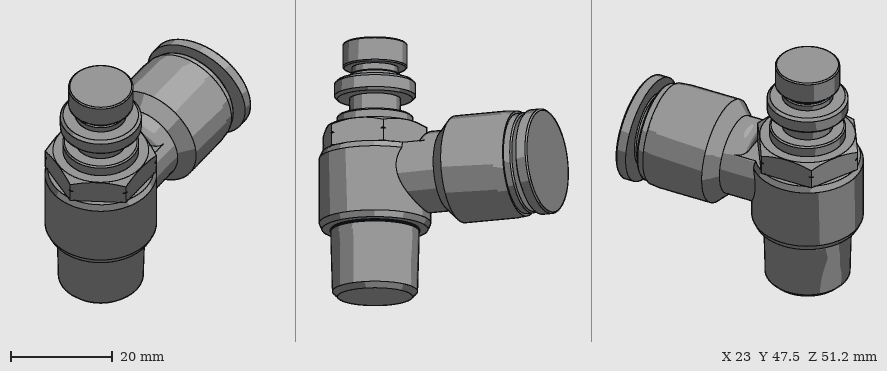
import cadquery as cq
import math


housing_bottom = 13.65
housing_top = 29.15
hex_top = 34.2
collar_top = 36.5
lock_nut_bottom = 40.1
lock_nut_top = 43.6
stem_top = 45.0
knob_bottom = 46.35
overall_height = 51.2

edge_chamfer = 0.3

housing_radius = 11.0
housing_chamfer_width = 0.55
housing_chamfer_height = 1.25

port_height = 24.2
port_neck_radius = 8.0
port_neck_rounding = 1.9
port_neck_face = 11.0
port_cone_start = 15.4
port_radius = 10.6
port_cone_end = port_cone_start + port_radius - port_neck_radius
port_taper_start = 29.0
port_end_radius = 10.4
port_end = 31.05

sleeve_radius = 9.95
sleeve_end = 32.65
collet_neck_radius = 7.3
collet_foot = 0.25
flange_front = 34.25
flange_back = 36.5
flange_width = 23.0
flange_half_width = flange_width / 2
flange_half_height = 10.3

thread_tip_radius = 7.35
thread_end_radius = 8.4
thread_radius = 8.7
thread_tip_height = 1.1
thread_top = 12.0
lip_radius = 8.9
lip_height = 13.35
lip_thickness = 0.15
hex_across_flats = 19.0
hex_corner_radius = hex_across_flats / math.sqrt(3)
hex_top_radius = 9.4
hex_chamfer_angle = 30.0
hex_notch_height = 31.6
hex_notch_depth = 0.25
collar_radius = 7.5

stem_radius = 5.0
stem_chamfer = 0.25
lock_nut_radius = 8.0
lock_nut_chamfer = 0.55
knob_neck_radius = 4.55
knob_radius = 6.35
knob_chamfer = 0.25


def revolve_about_z(profile):
    """Turn a closed outline of (radius, Z) points around the Z axis."""
    return cq.Workplane("XZ").polyline(profile).close().revolve(360, (0, 0), (0, 1))


def revolve_about_port(profile):
    """Turn a closed outline of (radius, Y) points around the port axis."""
    turned = cq.Workplane("XY").polyline(profile).close().revolve(360, (0, 0), (0, 1))
    return turned.translate((0, 0, port_height))


def make_port_neck():
    """Rounded neck of the port, with its lower part carried on into the housing barrel."""
    rounded = (
        cq.Workplane("XZ", origin=(0, port_cone_start, port_height))
        .circle(port_neck_radius)
        .extrude(port_cone_start - port_neck_face)
        .faces("<Y")
        .edges()
        .fillet(port_neck_rounding)
    )
    lower = (
        cq.Workplane("XZ", origin=(0, port_cone_start, port_height))
        .circle(port_neck_radius)
        .extrude(port_cone_start)
    )
    above_housing = (
        cq.Workplane("XY", origin=(0, 0, housing_top))
        .rect(2 * port_radius, 2 * port_end)
        .extrude(port_radius)
    )
    return rounded.union(lower.cut(above_housing))


def make_housing():
    """Upright barrel with a side port, bored through for the stud."""
    end_radius = housing_radius - housing_chamfer_width
    barrel = revolve_about_z([
        (0, housing_bottom),
        (end_radius, housing_bottom),
        (housing_radius, housing_bottom + housing_chamfer_height),
        (housing_radius, housing_top - housing_chamfer_height),
        (end_radius, housing_top),
        (0, housing_top),
    ])
    port = revolve_about_port([
        (0, port_cone_start),
        (port_neck_radius, port_cone_start),
        (port_radius, port_cone_end),
        (port_radius, port_taper_start),
        (port_end_radius, port_end),
        (0, port_end),
    ])
    bore = (
        cq.Workplane("XY", origin=(0, 0, housing_bottom))
        .circle(thread_radius)
        .extrude(housing_top - housing_bottom)
    )
    return barrel.union(make_port_neck()).union(port).cut(bore)


def make_collet():
    """Sleeve on the port end, with a narrower neck and an oval release flange."""
    turned = revolve_about_port([
        (0, port_end),
        (sleeve_radius, port_end),
        (sleeve_radius, sleeve_end - edge_chamfer),
        (sleeve_radius - edge_chamfer, sleeve_end),
        (collet_neck_radius, sleeve_end),
        (collet_neck_radius, flange_front - collet_foot),
        (collet_neck_radius + collet_foot, flange_front),
        (0, flange_front),
    ])
    flange = (
        cq.Workplane("XZ", origin=(0, flange_back, port_height))
        .ellipse(flange_half_width, flange_half_height)
        .extrude(flange_back - flange_front)
        .faces(">Y")
        .edges()
        .chamfer(edge_chamfer)
    )
    return turned.union(flange)


def make_hex():
    """Hexagon with corners on the Y axis, a chamfered top and a small notch in each corner."""
    prism = (
        cq.Workplane("XY", origin=(0, 0, housing_top))
        .polygon(6, 2 * hex_corner_radius)
        .extrude(hex_top - housing_top)
        .rotate((0, 0, 0), (0, 0, 1), 30)
    )
    corner_drop = (hex_corner_radius - hex_top_radius) * math.tan(math.radians(hex_chamfer_angle))
    chamfered_blank = revolve_about_z([
        (0, housing_top),
        (hex_corner_radius, housing_top),
        (hex_corner_radius, hex_top - corner_drop),
        (hex_top_radius, hex_top),
        (0, hex_top),
    ])
    notch_ring = revolve_about_z([
        (hex_corner_radius - hex_notch_depth, hex_notch_height),
        (hex_corner_radius + hex_notch_depth, hex_notch_height),
        (hex_corner_radius + hex_notch_depth, hex_notch_height + 2 * hex_notch_depth),
    ])
    return prism.intersect(chamfered_blank).cut(notch_ring)


def make_stud():
    """Tapered thread and shank through the housing, with a hexagon and collar on top."""
    shank = revolve_about_z([
        (0, 0),
        (thread_tip_radius, 0),
        (thread_end_radius, thread_tip_height),
        (thread_radius, thread_top),
        (thread_radius, lip_height - lip_thickness),
        (lip_radius, lip_height),
        (thread_radius, lip_height + lip_thickness),
        (thread_radius, housing_top),
        (0, housing_top),
    ])
    collar = (
        cq.Workplane("XY", origin=(0, 0, hex_top))
        .circle(collar_radius)
        .extrude(collar_top - hex_top)
        .faces(">Z")
        .edges()
        .chamfer(edge_chamfer)
    )
    return shank.union(make_hex()).union(collar)


def make_knob():
    """Stem on the collar with a lock nut ring and a round grip at the top."""
    return revolve_about_z([
        (0, collar_top),
        (stem_radius, collar_top),
        (stem_radius, lock_nut_bottom),
        (lock_nut_radius - lock_nut_chamfer, lock_nut_bottom),
        (lock_nut_radius, lock_nut_bottom + lock_nut_chamfer),
        (lock_nut_radius, lock_nut_top - lock_nut_chamfer),
        (lock_nut_radius - lock_nut_chamfer, lock_nut_top),
        (stem_radius, lock_nut_top),
        (stem_radius, stem_top - stem_chamfer),
        (stem_radius - stem_chamfer, stem_top),
        (knob_neck_radius, stem_top),
        (knob_neck_radius, knob_bottom),
        (knob_radius - knob_chamfer, knob_bottom),
        (knob_radius, knob_bottom + knob_chamfer),
        (knob_radius, overall_height - knob_chamfer),
        (knob_radius - knob_chamfer, overall_height),
        (0, overall_height),
    ])


housing = make_housing()
collet = make_collet()
stud = make_stud()
knob = make_knob()

result = cq.Compound.makeCompound([housing.val(), collet.val(), stud.val(), knob.val()])